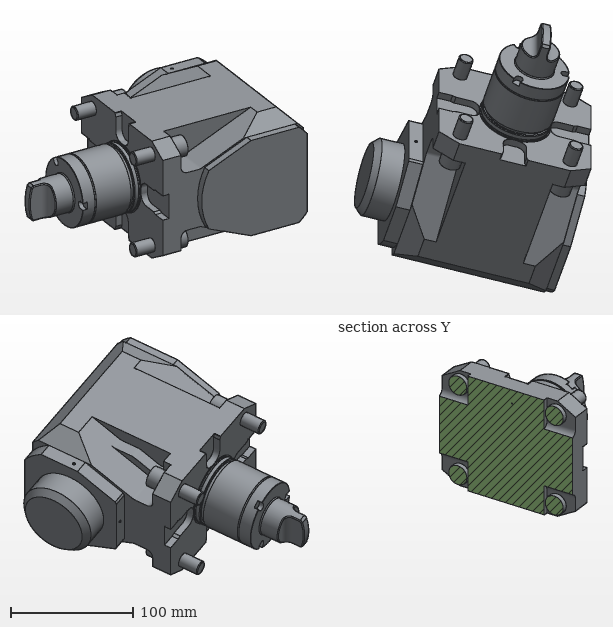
import math

import cadquery as cq


body_half_x = 65.0
body_half_z = 54.0
body_length = 134.0
side_chamfer_x = 17.5
side_chamfer_z = 10.0
rear_chamfer = 15.5
base_thickness = 17.5

slope_angle = 23.0
slope_start_y = 100.4
pocket_floor_z = 26.6
pocket_wall_x = 37.3
pocket_fillet = 6.0

step_wall_x = 27.0
step_floor_z = 42.2
step_front_y = 24.5
step_drop_y = 54.1
step_bend_radius = 10.0
step_front_fillet = 8.0

cross_axis_y = 90.0
flange_half_z = body_half_z - side_chamfer_z
left_flange_thickness = 12.0
left_flange_radius = 52.2
left_flange_front_y = 45.0
left_slope_start_y = 82.8
right_flange_thickness = 6.7
right_flange_radius = 56.8
right_slope_start_y = 80.2
cap_diameter = 65.3
cap_end_diameter = 55.2
cap_length = 25.0
cap_taper_length = 5.6
oil_hole_diameter = 2.1
oil_hole_core_diameter = 1.7
oil_hole_core_depth = 3.0
oil_hole_entry_depth = 1.0

slot_depth = 6.0
slot_inner_radius = 30.5
slot_half_width = 10.0
slot_corner_radius = 7.5
slot_flare_start = 50.5
slot_flare_end = 53.4
slot_outer_half_width = 11.2

screw_x = 47.0
screw_z = 42.0
screw_diameter = 12.0
screw_reach = 18.0
screw_tip_chamfer = 0.8
head_diameter = 18.0
head_height = 12.0

neck_diameter = 59.0
neck_length = 2.0
neck_chamfer = 0.4
pilot_disc_diameter = 61.3
pilot_disc_height = 0.4
spigot_diameter = 59.8
collar_end = 6.0
collar_chamfer = 0.7
seal_groove_diameter = 55.2
seal_groove_end = 9.3
parting_groove_diameter = 59.5
parting_groove_start = 42.3
parting_groove_end = 43.7
spigot_length = 55.2
nose_chamfer = 0.3
nose_slot_width = 6.37
nose_slot_radius = 26.0
nose_slot_depth = 4.2
nose_slot_count = 3

shaft_diameter = 33.0
shaft_root_diameter = 34.2
shaft_root_length = 1.2
shaft_edge_chamfer = 0.8
shoulder_distance = 73.2
tang_tip_distance = 90.8
tang_thickness = 8.0
tang_root_radius = 6.0
tang_tip_radius = 50.0
tang_corner_z = 14.5
tang_corner_length = 2.2
tang_edge_chamfer = 0.9

slope = math.tan(math.radians(slope_angle))


def box_between(x0, x1, y0, y1, z0, z1):
    """Axis-aligned box between two corners."""
    return cq.Workplane("XY").box(x1 - x0, y1 - y0, z1 - z0, centered=False).translate((x0, y0, z0))


def prism_along_x(points, x0, x1):
    """Extrude a (y, z) outline from x0 to x1."""
    return cq.Workplane("YZ", origin=(x0, 0, 0)).polyline(points).close().extrude(x1 - x0)


def cylinder_along_x(diameter, y, x0, x1):
    """Cylinder on the line z = 0 at the given y."""
    return cq.Workplane("YZ", origin=(x0, y, 0)).circle(diameter / 2).extrude(x1 - x0)


def cylinder_along_y(diameter, x, z, y0, y1):
    """Cylinder parallel to Y from y0 forward to the smaller y1."""
    return cq.Workplane("XZ", origin=(x, y0, z)).circle(diameter / 2).extrude(y0 - y1)


def round_edge(solid, point, radius):
    """Fillet the edge whose midpoint lies at the given point."""
    return solid.edges(cq.selectors.NearestToPointSelector(point)).fillet(radius)


def make_housing():
    block = box_between(-body_half_x, body_half_x, 0, body_length, -body_half_z, body_half_z)
    block = block.edges("|Y").chamfer(side_chamfer_z, side_chamfer_x)
    rear = cq.Workplane("YZ").rect(2 * body_length, 2 * body_half_z).extrude(body_half_x, both=True)
    return block.intersect(rear.edges("|X and >Y").chamfer(rear_chamfer))


def make_corner_pocket():
    """Pocket at the +X, +Z corner: slope, flat floor and rounded front wall."""
    slope_end_y = slope_start_y - (body_half_z - pocket_floor_z) / slope
    outline = [
        (slope_start_y, body_half_z),
        (slope_end_y, pocket_floor_z),
        (base_thickness, pocket_floor_z),
        (base_thickness, body_half_z),
    ]
    pocket = prism_along_x(outline, pocket_wall_x, body_half_x)
    mid_x = (pocket_wall_x + body_half_x) / 2
    pocket = round_edge(pocket, (mid_x, slope_end_y, pocket_floor_z), pocket_fillet)
    return round_edge(pocket, (mid_x, base_thickness, pocket_floor_z), pocket_fillet)


def make_step_pocket():
    """Shallower pocket between the left upper corner pocket and the middle of the housing."""
    floor_start_y = slope_start_y - (body_half_z - step_floor_z) / slope
    front_z = step_floor_z - (step_drop_y - step_front_y) * slope
    bends = [
        (floor_start_y, step_floor_z, step_bend_radius),
        (step_drop_y, step_floor_z, step_bend_radius),
        (step_front_y, front_z, step_front_fillet),
    ]
    outline = [(slope_start_y, body_half_z)]
    outline += [(y, z) for y, z, _ in bends]
    outline += [(step_front_y, body_half_z)]
    pocket = prism_along_x(outline, -pocket_wall_x, -step_wall_x)
    mid_x = -(pocket_wall_x + step_wall_x) / 2
    for y, z, radius in bends:
        pocket = round_edge(pocket, (mid_x, y, z), radius)
    return pocket


def make_face_slot():
    """Slot running outward along +X in the mounting face, with a flared mouth."""
    flat_half = slot_half_width - slot_corner_radius
    arc_end = slot_inner_radius + slot_corner_radius
    diagonal = slot_corner_radius * math.sqrt(0.5)
    arc_mid_x = arc_end - diagonal
    arc_mid_z = flat_half + diagonal
    outline = (
        cq.Workplane("XZ", origin=(0, slot_depth, 0))
        .moveTo(slot_inner_radius, -flat_half)
        .lineTo(slot_inner_radius, flat_half)
        .threePointArc((arc_mid_x, arc_mid_z), (arc_end, slot_half_width))
        .lineTo(slot_flare_start, slot_half_width)
        .lineTo(slot_flare_end, slot_outer_half_width)
        .lineTo(body_half_x, slot_outer_half_width)
        .lineTo(body_half_x, -slot_outer_half_width)
        .lineTo(slot_flare_end, -slot_outer_half_width)
        .lineTo(slot_flare_start, -slot_half_width)
        .lineTo(arc_end, -slot_half_width)
        .threePointArc((arc_mid_x, -arc_mid_z), (slot_inner_radius, -flat_half))
        .close()
    )
    return outline.extrude(slot_depth)


def make_flange(x0, x1, radius, front_y, slope_y):
    """Plate with two sloped sides, trimmed by a circle about the cross axis."""
    front_z = flange_half_z - (slope_y - front_y) * slope
    outline = [
        (body_length, flange_half_z),
        (slope_y, flange_half_z),
        (front_y, front_z),
        (front_y, -front_z),
        (slope_y, -flange_half_z),
        (body_length, -flange_half_z),
    ]
    return prism_along_x(outline, x0, x1).intersect(cylinder_along_x(2 * radius, cross_axis_y, x0, x1))


def drill_oil_hole(solid, plane, origin):
    """Small stepped blind hole, drilled against the plane normal."""
    for diameter, depth in (
        (oil_hole_diameter, oil_hole_entry_depth),
        (oil_hole_core_diameter, oil_hole_core_depth),
    ):
        solid = solid.cut(cq.Workplane(plane, origin=origin).circle(diameter / 2).extrude(-depth))
    return solid


def make_left_end():
    """Flange with its oil holes, and the round cap with a tapered end."""
    flange_x = -body_half_x - left_flange_thickness
    flange = make_flange(flange_x, -body_half_x, left_flange_radius, left_flange_front_y, left_slope_start_y)
    hole_x = flange_x + left_flange_thickness / 2
    flange = drill_oil_hole(flange, "XY", (hole_x, cross_axis_y, flange_half_z))
    flange = drill_oil_hole(flange, "XZ", (hole_x, left_flange_front_y, 0))
    cap = cylinder_along_x(cap_diameter, cross_axis_y, flange_x - cap_length, flange_x)
    taper_depth = (cap_diameter - cap_end_diameter) / 2
    cap = cap.faces("<X").chamfer(cap_taper_length, taper_depth)
    return flange.union(cap)


def make_right_end():
    return make_flange(
        body_half_x,
        body_half_x + right_flange_thickness,
        right_flange_radius,
        cross_axis_y - right_flange_radius,
        right_slope_start_y,
    )


def make_screw(x, z):
    shank = cylinder_along_y(screw_diameter, x, z, base_thickness, -screw_reach)
    shank = shank.faces("<Y").chamfer(screw_tip_chamfer)
    return shank.union(cylinder_along_y(head_diameter, x, z, base_thickness + head_height, base_thickness))


def make_spigot():
    """Turned spigot, revolved about the Y axis; its pilot disc closes the inner ends of the face slots."""
    spigot_r = spigot_diameter / 2
    profile = [
        (0, slot_depth),
        (pilot_disc_diameter / 2, slot_depth),
        (pilot_disc_diameter / 2, -pilot_disc_height),
        (neck_diameter / 2, -pilot_disc_height),
        (neck_diameter / 2, neck_chamfer - neck_length),
        (spigot_r, -neck_length),
        (spigot_r, collar_chamfer - collar_end),
        (spigot_r - collar_chamfer, -collar_end),
        (seal_groove_diameter / 2, -collar_end),
        (seal_groove_diameter / 2, -seal_groove_end),
        (spigot_r, -seal_groove_end),
        (spigot_r, -parting_groove_start),
        (parting_groove_diameter / 2, -parting_groove_start),
        (parting_groove_diameter / 2, -parting_groove_end),
        (spigot_r, -parting_groove_end),
        (spigot_r, nose_chamfer - spigot_length),
        (spigot_r - nose_chamfer, -spigot_length),
        (0, -spigot_length),
    ]
    return cq.Workplane("XY").polyline(profile).close().revolve(360, (0, 0), (0, 1))


def make_nose_slot(angle):
    """Radial slot in the spigot end face, round at its inner end."""
    start_y = nose_slot_depth - spigot_length
    slot = cylinder_along_y(nose_slot_width, nose_slot_radius, 0, start_y, -spigot_length)
    half_width = nose_slot_width / 2
    slot = slot.union(
        box_between(nose_slot_radius, spigot_diameter, -spigot_length, start_y, -half_width, half_width)
    )
    return slot.rotate((0, 0, 0), (0, 1, 0), angle)


def make_shaft_envelope():
    """Limits of the shaft: a block behind the tang and a plate with a crowned, chamfered tip."""
    shaft_r = shaft_diameter / 2
    plate_start_y = -shoulder_distance - tang_root_radius
    arc_sag = tang_tip_radius - math.sqrt(tang_tip_radius**2 - tang_corner_z**2)
    arc_end_y = arc_sag - tang_tip_distance
    corner_y = arc_end_y + tang_corner_length
    plate = (
        cq.Workplane("YZ", origin=(-tang_thickness / 2, 0, 0))
        .moveTo(plate_start_y, -shaft_r)
        .lineTo(corner_y, -shaft_r)
        .lineTo(arc_end_y, -tang_corner_z)
        .threePointArc((-tang_tip_distance, 0), (arc_end_y, tang_corner_z))
        .lineTo(corner_y, shaft_r)
        .lineTo(plate_start_y, shaft_r)
        .close()
        .extrude(tang_thickness)
    )
    tip_zone = cq.selectors.BoxSelector(
        (-tang_thickness, -tang_tip_distance, -shaft_r),
        (tang_thickness, corner_y, shaft_r),
    )
    plate = plate.edges("not |X").edges(tip_zone).chamfer(tang_edge_chamfer)
    reach = shaft_root_diameter
    return plate.union(box_between(-reach, reach, plate_start_y, 0, -reach, reach))


def make_shaft():
    """Shaft flattened on both sides to a drive tang with filleted roots."""
    shaft_r = shaft_diameter / 2
    half_thickness = tang_thickness / 2
    root_end_x = half_thickness + tang_root_radius
    root_end_y = -shoulder_distance - tang_root_radius
    diagonal = tang_root_radius * math.sqrt(0.5)
    shaft = cylinder_along_y(shaft_diameter, 0, 0, -spigot_length, -tang_tip_distance)
    flat = (
        cq.Workplane("XY", origin=(0, 0, -shaft_diameter))
        .moveTo(half_thickness, -tang_tip_distance)
        .lineTo(half_thickness, root_end_y)
        .threePointArc((root_end_x - diagonal, root_end_y + diagonal), (root_end_x, -shoulder_distance))
        .lineTo(shaft_diameter, -shoulder_distance)
        .lineTo(shaft_diameter, -tang_tip_distance)
        .close()
        .extrude(2 * shaft_diameter)
    )
    shaft = shaft.cut(flat).cut(flat.mirror("YZ"))

    flat_zone = cq.selectors.BoxSelector(
        (-shaft_diameter, shaft_edge_chamfer - tang_tip_distance, -shaft_diameter),
        (shaft_diameter, shaft_edge_chamfer - shoulder_distance, shaft_diameter),
    )
    shaft = shaft.faces("%CYLINDER").edges(flat_zone).edges("not |Z").chamfer(shaft_edge_chamfer)
    shaft = shaft.intersect(make_shaft_envelope())

    root_cone = (
        cq.Workplane("XZ", origin=(0, -spigot_length, 0))
        .circle(shaft_root_diameter / 2)
        .workplane(offset=shaft_root_length)
        .circle(shaft_r)
        .loft()
    )
    return shaft.union(root_cone)


def make_part():
    part = make_housing()
    pocket = make_corner_pocket()
    left_pocket = pocket.mirror("YZ")
    for corner in (pocket, left_pocket, pocket.mirror("XY"), left_pocket.mirror("XY")):
        part = part.cut(corner)
    part = part.cut(make_step_pocket())

    slot = make_face_slot()
    for angle in (0, 90, 180, 270):
        part = part.cut(slot.rotate((0, 0, 0), (0, 1, 0), angle))

    part = part.union(make_left_end()).union(make_right_end())

    spigot = make_spigot()
    for index in range(nose_slot_count):
        spigot = spigot.cut(make_nose_slot(index * 360 / nose_slot_count))
    part = part.union(spigot).union(make_shaft())

    for x in (-screw_x, screw_x):
        for z in (-screw_z, screw_z):
            part = part.union(make_screw(x, z))
    return part


result = make_part()